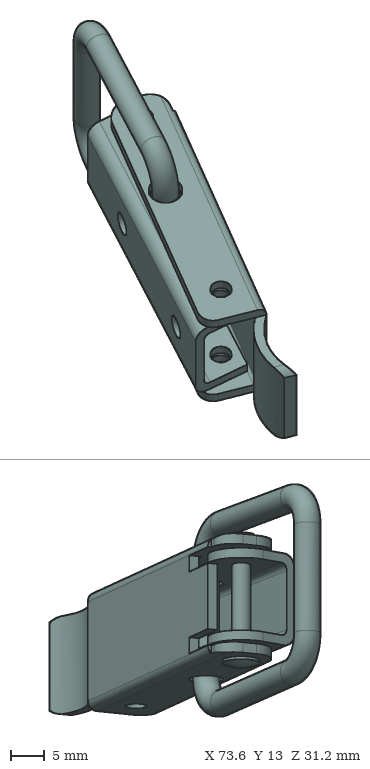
import cadquery as cq
import math


OVERALL_LENGTH = 73.6
CUT_DEPTH = 73.6
PIVOT_Y = 7.0

PIN_D = 2.8
PIN_HEAD_D = 5.5
PIN_HEAD_RIM = 0.45
PIN_BOSS_D = 3.8
PIN_END_HEIGHT = 1.0

BASE_WIDTH = 14.0
BASE_SHEET = 1.5
BASE_BEND_R = 2.0
BASE_INNER_R = 1.0
BASE_FRONT_X = -3.7
BASE_REAR_X = 40.4
BASE_END_LEAN = 0.2
LUG_R = 5.0
BASE_LEG_TOP = 9.0
MOUNT_HOLE_D = 3.5
MOUNT_HOLE_X = (10.4, 32.4)

BAIL_HOLE_D = 5.0
BAIL_PIVOT_X = 14.0
BAIL_PIVOT_Y = 5.5
LOCK_HOLE_D = 3.2
LOCK_HOLE_X = 35.3
LOCK_HOLE_Y = 6.0

LEVER_TILT = 2.7
LEVER_WIDTH = 18.0
LEVER_SHEET = 1.55
LEVER_INNER_WIDTH = LEVER_WIDTH - 2 * LEVER_SHEET
LEVER_BEND_R = 1.5
LEVER_INNER_R = 0.5
LEVER_FRONT_U = -5.0
LEVER_REAR_U = 41.0
LEVER_TOP_V = 5.95
LEVER_BOTTOM_V = -4.05
LEG_FRONT_BOTTOM_R = 4.0
LEG_FRONT_TOP_R = 3.25
LEG_FRONT_TOP_V = 5.4
LEG_REAR_R = 2.4
WEB_FRONT_U = LEVER_FRONT_U + LEG_FRONT_BOTTOM_R
TONGUE_WIDTH = 10.0
NOTCH_END_U = 5.45

TAB_R = 10.0
TAB_CENTRE_U = 46.65
TAB_CENTRE_V = 14.2
TAB_END_U = 53.15
TAB_CORNER_R = 3.0
TAB_CORNER_LENGTH = 2.0

WIRE_D = 4.0
BAIL_BEND_R = 5.0
BAIL_FRONT_HALF = 13.2
BAIL_REAR_HALF = 13.7


def cylinder_z(x, y, diameter, z_start, z_end):
    """Cylinder parallel to Z."""
    return cq.Workplane("XY", origin=(x, y, z_start)).circle(diameter / 2).extrude(z_end - z_start)


def cross_holes():
    """Cutters for the bail holes and the lock holes, which line up through all four legs."""
    half = CUT_DEPTH / 2
    bail_hole = cylinder_z(BAIL_PIVOT_X, BAIL_PIVOT_Y, BAIL_HOLE_D, -half, half)
    lock_hole = cylinder_z(LOCK_HOLE_X, LOCK_HOLE_Y, LOCK_HOLE_D, -half, half)
    return bail_hole.union(lock_hole)


def block(x_start, x_end, y_start, y_end, width):
    """Box centred on Z = 0."""
    centre = ((x_start + x_end) / 2, (y_start + y_end) / 2, 0)
    return cq.Workplane("XY").box(x_end - x_start, y_end - y_start, width).translate(centre)


def base_side_outline():
    """Side shape of the base: front edge tangent to the lug, flat leg top, leaning rear edge."""
    foot_distance = math.hypot(BASE_FRONT_X, PIVOT_Y)
    foot_angle = math.atan2(-PIVOT_Y, BASE_FRONT_X)
    tangent_angle = foot_angle - math.acos(LUG_R / foot_distance)
    tangent_point = (LUG_R * math.cos(tangent_angle), PIVOT_Y + LUG_R * math.sin(tangent_angle))
    lug_end_x = math.sqrt(LUG_R**2 - (BASE_LEG_TOP - PIVOT_Y) ** 2)
    return (
        cq.Workplane("XY")
        .moveTo(BASE_FRONT_X, 0)
        .lineTo(*tangent_point)
        .threePointArc((0, PIVOT_Y + LUG_R), (lug_end_x, BASE_LEG_TOP))
        .lineTo(BASE_REAR_X - BASE_END_LEAN * BASE_LEG_TOP, BASE_LEG_TOP)
        .lineTo(BASE_REAR_X, 0)
        .close()
        .extrude(BASE_WIDTH / 2, both=True)
    )


def make_base():
    lug_top = PIVOT_Y + LUG_R
    inner_width = BASE_WIDTH - 2 * BASE_SHEET
    outside = block(-LUG_R, BASE_REAR_X, 0, lug_top, BASE_WIDTH)
    outside = outside.edges("|X and <Y").fillet(BASE_BEND_R)
    inside = block(-CUT_DEPTH, CUT_DEPTH, BASE_SHEET, CUT_DEPTH, inner_width)
    inside = inside.edges("|X and <Y").fillet(BASE_INNER_R)
    base = outside.cut(inside).intersect(base_side_outline())
    for x in MOUNT_HOLE_X:
        mount_hole = cq.Workplane("XZ", origin=(x, 0, 0)).circle(MOUNT_HOLE_D / 2).extrude(-BASE_SHEET)
        base = base.cut(mount_hole)
    pin_hole = cylinder_z(0, PIVOT_Y, PIN_D, -BASE_WIDTH / 2, BASE_WIDTH / 2)
    return base.cut(pin_hole).cut(cross_holes())


def lever_side_outline():
    """Side shape of the lever legs and web, in the lever frame."""
    diagonal = math.sqrt(0.5)
    bottom_centre = (LEVER_FRONT_U + LEG_FRONT_BOTTOM_R, LEVER_BOTTOM_V + LEG_FRONT_BOTTOM_R)
    top_centre = (LEVER_FRONT_U + LEG_FRONT_TOP_R, LEG_FRONT_TOP_V - LEG_FRONT_TOP_R)
    rear_centre = (LEVER_REAR_U - LEG_REAR_R, LEVER_BOTTOM_V + LEG_REAR_R)

    def arc_middle(centre, radius, u_side, v_side):
        return (centre[0] + u_side * radius * diagonal, centre[1] + v_side * radius * diagonal)

    return (
        cq.Workplane("XY")
        .moveTo(bottom_centre[0], LEVER_BOTTOM_V)
        .threePointArc(
            arc_middle(bottom_centre, LEG_FRONT_BOTTOM_R, -1, -1), (LEVER_FRONT_U, bottom_centre[1])
        )
        .lineTo(LEVER_FRONT_U, top_centre[1])
        .threePointArc(arc_middle(top_centre, LEG_FRONT_TOP_R, -1, 1), (top_centre[0], LEG_FRONT_TOP_V))
        .lineTo(WEB_FRONT_U, LEG_FRONT_TOP_V)
        .lineTo(WEB_FRONT_U, LEVER_TOP_V)
        .lineTo(LEVER_REAR_U, LEVER_TOP_V)
        .lineTo(LEVER_REAR_U, rear_centre[1])
        .threePointArc(arc_middle(rear_centre, LEG_REAR_R, 1, -1), (rear_centre[0], LEVER_BOTTOM_V))
        .close()
        .extrude(LEVER_WIDTH / 2, both=True)
    )


def tab_arc_v(u, radius):
    """Height of a tab face of the given radius at station u, in the lever frame."""
    return TAB_CENTRE_V - math.sqrt(radius**2 - (u - TAB_CENTRE_U) ** 2)


def lever_tab():
    """Curved finger tab, as wide as the space between the lever legs."""
    lower_r = TAB_R + LEVER_SHEET
    curved_sheet = (
        cq.Workplane("XY")
        .moveTo(LEVER_REAR_U, tab_arc_v(LEVER_REAR_U, TAB_R))
        .threePointArc((TAB_CENTRE_U, TAB_CENTRE_V - TAB_R), (TAB_END_U, tab_arc_v(TAB_END_U, TAB_R)))
        .lineTo(TAB_END_U, tab_arc_v(TAB_END_U, lower_r))
        .threePointArc(
            (TAB_CENTRE_U, TAB_CENTRE_V - lower_r), (LEVER_REAR_U, tab_arc_v(LEVER_REAR_U, lower_r))
        )
        .close()
        .extrude(LEVER_INNER_WIDTH / 2, both=True)
    )
    arc_end_u = TAB_END_U - TAB_CORNER_LENGTH + TAB_CORNER_R
    plan = block(LEVER_REAR_U, arc_end_u, 0, CUT_DEPTH, LEVER_INNER_WIDTH)
    return curved_sheet.intersect(plan.edges("|Y and >X").fillet(TAB_CORNER_R))


def lever_channel():
    """Folded legs and web, with the front of the web cut back to a tongue between the legs."""
    inside_top = LEVER_TOP_V - LEVER_SHEET
    outside = block(LEVER_FRONT_U, LEVER_REAR_U, LEVER_BOTTOM_V, LEVER_TOP_V, LEVER_WIDTH)
    outside = outside.edges("|X and >Y").fillet(LEVER_BEND_R)
    inside = block(-CUT_DEPTH, CUT_DEPTH, -CUT_DEPTH, inside_top, LEVER_INNER_WIDTH)
    inside = inside.edges("|X and >Y").fillet(LEVER_INNER_R)
    notch_bottom = inside_top - LEVER_INNER_R
    notches = block(LEVER_FRONT_U, NOTCH_END_U, notch_bottom, LEVER_TOP_V, LEVER_INNER_WIDTH)
    notches = notches.cut(block(WEB_FRONT_U, NOTCH_END_U, notch_bottom, LEVER_TOP_V, TONGUE_WIDTH))
    return outside.cut(inside).intersect(lever_side_outline()).cut(notches)


def pin_shape():
    """Rivet pin on the lever frame origin: domed head at -Z, plain boss at +Z."""
    leg_face = LEVER_WIDTH / 2
    head_r = PIN_HEAD_D / 2
    dome_height = PIN_END_HEIGHT - PIN_HEAD_RIM
    dome_r = (head_r**2 + dome_height**2) / (2 * dome_height)
    dome_top = leg_face + PIN_END_HEIGHT
    dome_mid_r = head_r / 2
    dome_mid = dome_top - dome_r + math.sqrt(dome_r**2 - dome_mid_r**2)
    head = (
        cq.Workplane("XZ")
        .moveTo(0, -leg_face)
        .lineTo(head_r, -leg_face)
        .lineTo(head_r, -leg_face - PIN_HEAD_RIM)
        .threePointArc((dome_mid_r, -dome_mid), (0, -dome_top))
        .close()
        .revolve(360, (0, 0, 0), (0, 1, 0))
    )
    shaft = cylinder_z(0, 0, PIN_D, -leg_face, leg_face)
    boss = cylinder_z(0, 0, PIN_BOSS_D, leg_face, leg_face + PIN_END_HEIGHT)
    return shaft.union(head).union(boss)


def make_lever():
    """Lever with its riveted pin, tilted about the pin axis."""
    lever = lever_channel().union(lever_tab()).union(pin_shape())
    lever = lever.rotate((0, 0, 0), (0, 0, 1), -LEVER_TILT).translate((0, PIVOT_Y, 0))
    return lever.cut(cross_holes())


def bail_front_x():
    """X of the front bar centreline, one overall length away from the tip of the tab."""
    tilt = math.radians(LEVER_TILT)
    tip_x = TAB_END_U * math.cos(tilt) + tab_arc_v(TAB_END_U, TAB_R) * math.sin(tilt)
    return tip_x - OVERALL_LENGTH + WIRE_D / 2


def make_bail():
    """Closed wire loop whose two arms spread slightly toward the pivot bar."""
    front_x = bail_front_x()
    rear_x = BAIL_PIVOT_X
    spread = math.atan2(BAIL_REAR_HALF - BAIL_FRONT_HALF, rear_x - front_x)
    front_setback = BAIL_BEND_R * math.tan((math.pi / 2 - spread) / 2)
    rear_setback = BAIL_BEND_R * math.tan((math.pi / 2 + spread) / 2)

    front_arm = (
        front_x + front_setback * math.cos(spread),
        BAIL_FRONT_HALF + front_setback * math.sin(spread),
    )
    rear_arm = (
        rear_x - rear_setback * math.cos(spread),
        BAIL_REAR_HALF - rear_setback * math.sin(spread),
    )
    half_path = (
        cq.Workplane("XZ", origin=(0, BAIL_PIVOT_Y, 0))
        .moveTo(front_x, 0)
        .lineTo(front_x, BAIL_FRONT_HALF - front_setback)
        .tangentArcPoint(front_arm, relative=False)
        .lineTo(*rear_arm)
        .tangentArcPoint((rear_x, BAIL_REAR_HALF - rear_setback), relative=False)
        .lineTo(rear_x, 0)
    )
    half_loop = cq.Workplane("XY", origin=(front_x, BAIL_PIVOT_Y, 0)).circle(WIRE_D / 2).sweep(half_path)
    return half_loop.union(half_loop.mirror("XY"))


base = make_base()
lever = make_lever()
bail = make_bail()

result = cq.Compound.makeCompound([body.solids().val() for body in (base, lever, bail)])